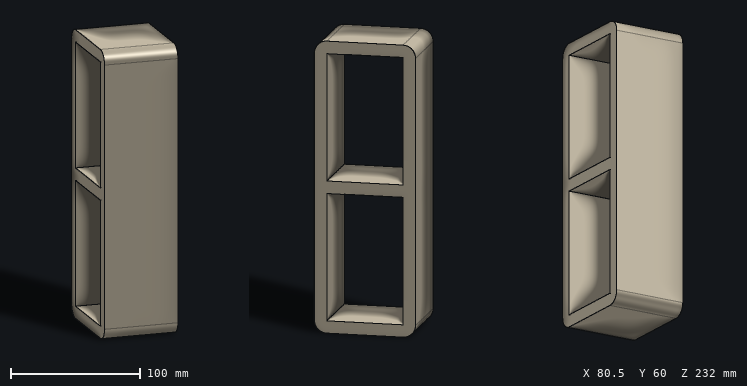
import cadquery as cq

width = 80.5
depth = 60.0
height = 232.0

wall = 10.0
corner_radius = wall

opening_width = width - 2 * wall
opening_height = (height - 3 * wall) / 2
opening_offset = (opening_height + wall) / 2

frame = cq.Workplane("XY").box(width, depth, height).edges("|Y").fillet(corner_radius)

for side in (-1, 1):
    opening = cq.Workplane("XY").box(opening_width, depth, opening_height)
    frame = frame.cut(opening.translate((0, 0, side * opening_offset)))

result = frame